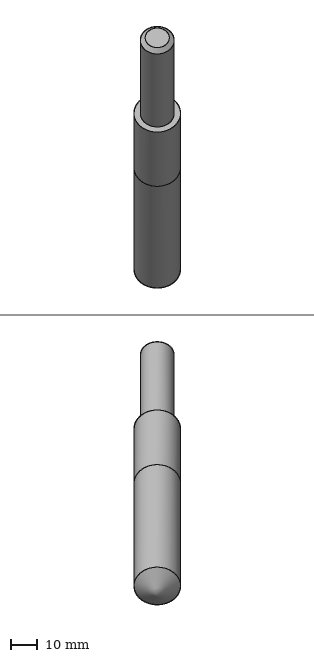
import cadquery as cq

total_length = 152.4
body_diameter = 17.4
shank_diameter = 12.6

tip_cone_height = 5.5
joint_height = 70.1
shoulder_height = 104.5

bevel_height = 1.5
bevel_inset = 1.8

body_radius = body_diameter / 2
shank_radius = shank_diameter / 2


def make_tip():
    """Cylindrical lower body that ends in a conical point."""
    return (
        cq.Workplane("XZ")
        .moveTo(0, 0)
        .lineTo(body_radius, tip_cone_height)
        .lineTo(body_radius, joint_height)
        .lineTo(0, joint_height)
        .close()
        .revolve(360, (0, 0, 0), (0, 1, 0))
    )


def make_holder():
    """Collar that sits on the tip and carries the bevelled shank."""
    return (
        cq.Workplane("XZ")
        .moveTo(0, joint_height)
        .lineTo(body_radius, joint_height)
        .lineTo(body_radius, shoulder_height)
        .lineTo(shank_radius, shoulder_height)
        .lineTo(shank_radius, total_length - bevel_height)
        .lineTo(shank_radius - bevel_inset, total_length)
        .lineTo(0, total_length)
        .close()
        .revolve(360, (0, 0, 0), (0, 1, 0))
    )


tip = make_tip()
holder = make_holder()

result = cq.Compound.makeCompound([tip.val(), holder.val()])